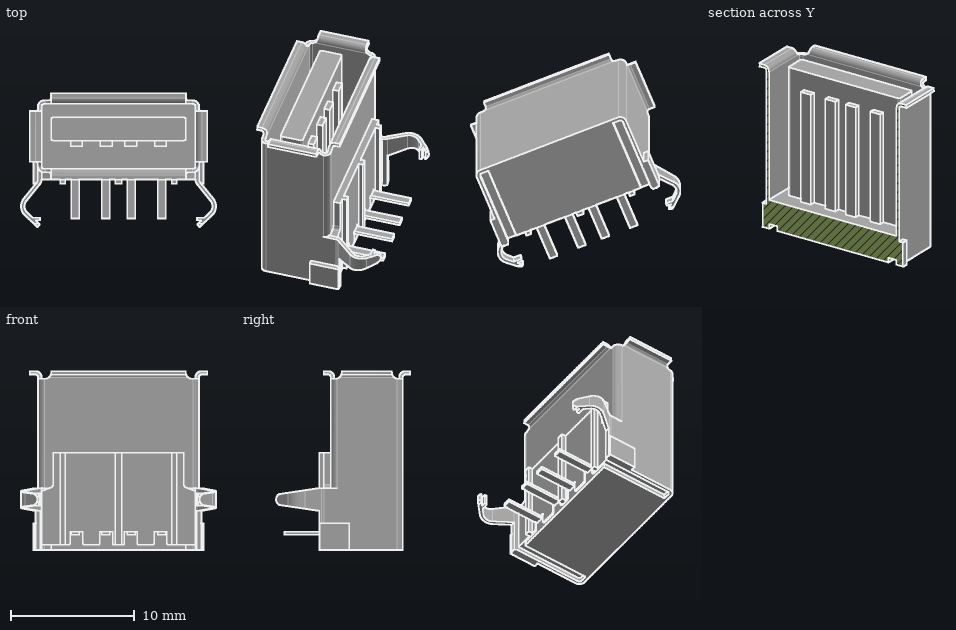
import cadquery as cq
import math

sheet = 0.3
shell_x = 13.04
shell_y = 5.84
shell_corner_r = 0.5
height = 14.5
wall_x = shell_x / 2
wall_y = shell_y / 2
inner_x = wall_x - sheet
inner_y = wall_y - sheet
front_wall_bottom = 5.03

diagonal = math.sqrt(0.5)

rim_z = 13.88
side_lip_reach = 0.68
long_lip_reach = 0.58
bend_inner_r = 0.2
bend_outer_r = bend_inner_r + sheet
long_lip_half = 5.45
short_lip_half = 2.04
lip_root_r = 0.5

plate_front = -3.5
plate_top = 7.89
plate_bottom = 0.42
plate_top_half = 5.27
shoulder_inner_z = 5.15
shoulder_outer_z = 4.78
shoulder_r = 0.3
rib_front = -3.86
side_rib_x = 4.52
side_rib_width = 0.42
center_rib_width = 0.54
floor_z = 2.6
foot_half = 5.45
foot_front = -3.4

tongue_half = 5.45
tongue_back = 1.53
tongue_front = -0.34
tongue_top = 14.0
tongue_corner_r = 0.15

contact_positions = (-3.4, -1.0, 1.0, 3.4)
contact_width = 0.97
contact_front = -0.82
contact_top = 12.37
notch_width = 1.04
notch_corner_r = 0.15
pin_positions = (-3.5, -1.03, 1.03, 3.5)
pin_width = 0.67
pin_thickness = 0.27
pin_top = 1.5
pin_tip = -6.67

side_front = -3.5
foot_end = rib_front
pad_thickness = 0.38
pad_back = -1.4
pad_front = -3.82
pad_top = 2.17

clip_half_span = 7.9
clip_angle_out = 39.0
clip_angle_in = 47.0
clip_bend_r = 0.6
clip_hook_r = 0.7
clip_tip_y = -7.35
clip_z = 4.1
clip_root_half = front_wall_bottom - clip_z
clip_taper_y = -7.07
clip_taper_half = 0.45
tab_back = -6.58
tab_front = -6.8
tab_outer_x = 7.1
tab_inner_x = 6.35


def box(x0, x1, y0, y1, z0, z1):
    """Axis-aligned block between opposite corners."""
    return cq.Workplane("XY").box(x1 - x0, y1 - y0, z1 - z0, centered=False).translate((x0, y0, z0))


def both_sides(body):
    """Body together with its mirror image across the YZ plane."""
    return body.union(body.mirror("YZ"))


def make_tube():
    """Rounded rectangular tube whose front wall and front corners stop above the clips."""
    tube = cq.Workplane("XY").rect(shell_x, shell_y).extrude(rim_z).edges("|Z").fillet(shell_corner_r)
    bore = cq.Workplane("XY").rect(2 * inner_x, 2 * inner_y).extrude(rim_z)
    bore = bore.edges("|Z").fillet(shell_corner_r - sheet)
    opening = box(-wall_x, wall_x, -wall_y, -wall_y + shell_corner_r, 0, front_wall_bottom)
    return tube.cut(bore).cut(opening)


def make_lip(wall, half_length, reach):
    """Wall top that rolls outward to a flat lip; built for the wall facing +X."""
    bend_start = height - bend_outer_r
    bend_center = wall + bend_inner_r
    lip = (
        cq.Workplane("XZ")
        .moveTo(wall - sheet, rim_z)
        .lineTo(wall - sheet, bend_start)
        .threePointArc(
            (bend_center - bend_outer_r * diagonal, bend_start + bend_outer_r * diagonal),
            (bend_center, height),
        )
        .lineTo(wall + reach, height)
        .lineTo(wall + reach, height - sheet)
        .lineTo(bend_center, height - sheet)
        .threePointArc(
            (bend_center - bend_inner_r * diagonal, bend_start + bend_inner_r * diagonal),
            (wall, bend_start),
        )
        .lineTo(wall, rim_z)
        .close()
        .extrude(half_length + lip_root_r, both=True)
    )
    for side in (-1, 1):
        end = side * (half_length + lip_root_r)
        scoop = (
            cq.Workplane("YZ")
            .moveTo(end - side * lip_root_r, height)
            .lineTo(end - side * lip_root_r, rim_z + lip_root_r)
            .threePointArc(
                (end - side * lip_root_r * diagonal, rim_z + lip_root_r * (1 - diagonal)),
                (end, rim_z),
            )
            .lineTo(end, height)
            .close()
            .extrude(wall + reach)
        )
        lip = lip.cut(scoop)
    return lip


def make_lips():
    """One lip on each of the four walls."""
    side_lip = make_lip(wall_x, short_lip_half, side_lip_reach)
    back_lip = make_lip(wall_y, long_lip_half, long_lip_reach).rotate((0, 0, 0), (0, 0, 1), 90)
    return both_sides(side_lip).union(back_lip).union(back_lip.mirror("XZ"))


def make_plate():
    """Shouldered insulator plate with three vertical ribs."""
    plate = (
        cq.Workplane("XZ", origin=(0, -inner_y, 0))
        .polyline(
            [
                (-inner_x, plate_bottom),
                (inner_x, plate_bottom),
                (inner_x, shoulder_outer_z),
                (plate_top_half, shoulder_inner_z),
                (plate_top_half, plate_top),
                (-plate_top_half, plate_top),
                (-plate_top_half, shoulder_inner_z),
                (-inner_x, shoulder_outer_z),
            ]
        )
        .close()
        .extrude(-inner_y - plate_front)
    )
    plate_mid_y = (plate_front - inner_y) / 2
    for side in (-1, 1):
        shoulder_edge = cq.selectors.NearestToPointSelector(
            (side * plate_top_half, plate_mid_y, shoulder_inner_z)
        )
        plate = plate.edges("|Y").edges(shoulder_edge).fillet(shoulder_r)
    plate = plate.cut(box(-inner_x, inner_x, -wall_y, 0, front_wall_bottom, plate_top))
    for x, width in (
        (-side_rib_x, side_rib_width),
        (0, center_rib_width),
        (side_rib_x, side_rib_width),
    ):
        rib = box(x - width / 2, x + width / 2, rib_front, plate_front, plate_bottom, plate_top)
        plate = plate.union(rib)
    return plate


def make_notch(x):
    """Pin relief in the lower edge of the plate, flared by rounds at its mouth."""
    half = notch_width / 2
    mouth = half + notch_corner_r
    round_z = plate_bottom + notch_corner_r
    reach = notch_corner_r * (1 - diagonal)
    return (
        cq.Workplane("XZ", origin=(x, foot_front, 0))
        .moveTo(-mouth, plate_bottom)
        .threePointArc((-half - reach, plate_bottom + reach), (-half, round_z))
        .lineTo(-half, pin_top)
        .lineTo(half, pin_top)
        .lineTo(half, round_z)
        .threePointArc((half + reach, plate_bottom + reach), (mouth, plate_bottom))
        .close()
        .extrude(foot_front - plate_front)
    )


def make_insulator():
    """Plate, floor, foot and tongue, with the pin reliefs cut out."""
    body = make_plate()
    for x in contact_positions:
        body = body.cut(make_notch(x))
    floor = box(-inner_x, inner_x, foot_front, inner_y, plate_bottom, floor_z)
    foot = box(-foot_half, foot_half, foot_front, inner_y, 0, plate_bottom)
    tongue = box(-tongue_half, tongue_half, tongue_front, tongue_back, floor_z, tongue_top)
    tongue = tongue.edges("|Z").fillet(tongue_corner_r)
    return body.union(floor).union(foot).union(tongue)


def make_contacts():
    """Contact bars on the tongue and the solder pins below them."""
    bars = cq.Workplane("XY")
    for x in contact_positions:
        half = contact_width / 2
        bars = bars.union(box(x - half, x + half, contact_front, tongue_front, floor_z, contact_top))
    for x in pin_positions:
        half = pin_width / 2
        bars = bars.union(box(x - half, x + half, pin_tip, foot_front, pin_top - pin_thickness, pin_top))
    return bars


def make_strip():
    """Bent sheet strip in plan on the +X side: wall, outward bend, hook and inward tip."""
    out = math.radians(clip_angle_out)
    back = math.radians(clip_angle_in)
    hook_outer_r = clip_hook_r + sheet
    bend_small_r = clip_bend_r - sheet
    strip_start_y = -wall_y + shell_corner_r

    bend_x = wall_x + bend_small_r
    hook_x = clip_half_span - hook_outer_r
    arm_start_x = bend_x - bend_small_r * math.cos(out)
    arm_start_y = side_front - bend_small_r * math.sin(out)
    arm_end_x = hook_x + hook_outer_r * math.cos(out)
    arm_end_y = arm_start_y - (arm_end_x - arm_start_x) / math.tan(out)
    hook_y = arm_end_y - hook_outer_r * math.sin(out)

    def on_bend(radius, angle):
        return (bend_x - radius * math.cos(angle), side_front - radius * math.sin(angle))

    def on_hook(radius, angle):
        return (hook_x + radius * math.cos(angle), hook_y + radius * math.sin(angle))

    tip_run = (on_hook(hook_outer_r, -back)[1] - clip_tip_y) / math.cos(back)

    def tip(radius):
        x, y = on_hook(radius, -back)
        return (x - tip_run * math.sin(back), y - tip_run * math.cos(back))

    return (
        cq.Workplane("XY")
        .moveTo(wall_x, strip_start_y)
        .lineTo(wall_x, side_front)
        .threePointArc(on_bend(bend_small_r, out / 2), on_bend(bend_small_r, out))
        .lineTo(*on_hook(hook_outer_r, out))
        .threePointArc(on_hook(hook_outer_r, 0), on_hook(hook_outer_r, -back))
        .lineTo(*tip(hook_outer_r))
        .lineTo(*tip(clip_hook_r))
        .lineTo(*on_hook(clip_hook_r, -back))
        .threePointArc(on_hook(clip_hook_r, 0), on_hook(clip_hook_r, out))
        .lineTo(*on_bend(clip_bend_r, out))
        .threePointArc(on_bend(clip_bend_r, out / 2), (inner_x, side_front))
        .lineTo(inner_x, strip_start_y)
        .close()
        .extrude(front_wall_bottom)
    )


def make_side():
    """Side wall front with its spring clip, tab, foot bend and pad, on the +X side."""
    tab = box(tab_inner_x, tab_outer_x, tab_front, tab_back, 0, front_wall_bottom)
    strip = make_strip().union(tab)
    outline = (
        cq.Workplane("YZ")
        .moveTo(0, 0)
        .lineTo(foot_end, 0)
        .lineTo(foot_end, clip_z - clip_root_half)
        .lineTo(clip_taper_y, clip_z - clip_taper_half)
        .threePointArc((clip_tip_y, clip_z), (clip_taper_y, clip_z + clip_taper_half))
        .lineTo(foot_end, front_wall_bottom)
        .lineTo(0, front_wall_bottom)
        .close()
        .extrude(clip_half_span)
    )
    pad = box(wall_x, wall_x + pad_thickness, pad_front, pad_back, 0, pad_top)
    return strip.intersect(outline).union(pad)


result = make_tube().union(make_lips()).union(both_sides(make_side()))
result = result.union(make_insulator()).union(make_contacts())